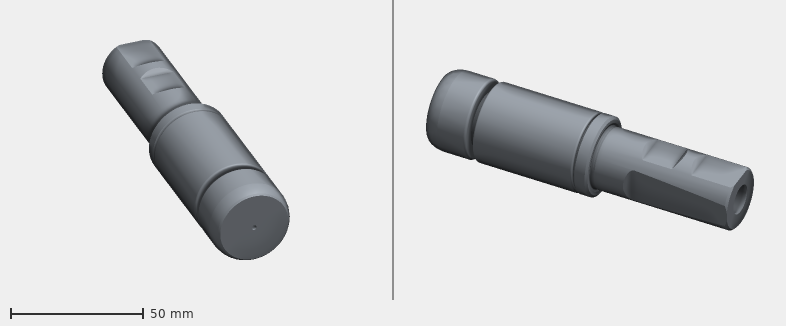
import cadquery as cq
import math

length = 125.6
body_radius = 32.0 / 2
shank_radius = 25.0 / 2

shank_end = 55.4
collar_start = 57.0
collar_end = 62.8
body_start = 63.2
body_end = 105.1
head_start = 108.0
crown_start = 120.0
crown_end = 125.0

shank_chamfer = 0.9
relief_radius = 24.6 / 2
relief_ramp_length = 0.6
relief_face_depth = 0.3
relief_fillet = 0.5
relief_face_radius = 13.6
collar_face_radius = 15.0
collar_front_chamfer = 0.8
collar_rear_chamfer = 0.8
split_radius = 14.7
body_fillet = 0.8
neck_radius = 22.2 / 2
head_fillet = 1.0
crown_radius = 8.8
nose_chamfer = length - crown_end

flat_depth = 2.0
flat_height = shank_radius - flat_depth
end_flat_length = 17.2
middle_flat_start = 25.6
middle_flat_end = 37.9

taper_start_height = 11.5
taper_angle = 2.0
taper_ramp_end = 43.3
taper_corner_radius = 3.8

bore_radius = 11.0 / 2
bore_mouth_radius = 11.8 / 2
bore_depth = 50.2
bore_floor_radius = 6.0 / 2
bore_tip_angle = 118.0
bore_cone_length = (bore_radius - bore_floor_radius) / math.tan(math.radians(bore_tip_angle / 2))
through_radius = 2.0 / 2
through_mouth_radius = 2.5 / 2


def arc_drop(radius, run):
    """Fall of a circular arc from its tangent after a given run."""
    return radius - math.sqrt(radius**2 - run**2)


def make_turned_body():
    """Revolve the outer profile; the sketch holds (axial, radial) points."""
    corner = math.sqrt(0.5)
    relief_arc = relief_fillet * (1 - corner)
    relief_floor = collar_start + relief_face_depth
    body_arc = body_fillet * (1 - corner)
    head_arc = head_fillet * (1 - corner)
    crown_middle = (crown_start + crown_end) / 2
    crown_middle_radius = body_radius - arc_drop(crown_radius, crown_middle - crown_start)
    crown_end_radius = body_radius - arc_drop(crown_radius, crown_end - crown_start)
    profile = (
        cq.Workplane("XY")
        .moveTo(0, 0)
        .lineTo(0, shank_radius - shank_chamfer)
        .lineTo(shank_chamfer, shank_radius)
        .lineTo(shank_end, shank_radius)
        .lineTo(shank_end + relief_ramp_length, relief_radius)
        .lineTo(relief_floor - relief_fillet, relief_radius)
        .threePointArc(
            (relief_floor - relief_arc, relief_radius + relief_arc),
            (relief_floor, relief_radius + relief_fillet),
        )
        .lineTo(collar_start, relief_face_radius)
        .lineTo(collar_start, collar_face_radius)
        .lineTo(collar_start + collar_front_chamfer, body_radius)
        .lineTo(collar_end - collar_rear_chamfer, body_radius)
        .lineTo(collar_end, body_radius - collar_rear_chamfer)
        .lineTo(collar_end, split_radius)
        .lineTo(body_start, split_radius)
        .lineTo(body_start, body_radius - body_fillet)
        .threePointArc(
            (body_start + body_arc, body_radius - body_arc),
            (body_start + body_fillet, body_radius),
        )
        .lineTo(body_end - body_fillet, body_radius)
        .threePointArc(
            (body_end - body_arc, body_radius - body_arc),
            (body_end, body_radius - body_fillet),
        )
        .lineTo(body_end, neck_radius)
        .lineTo(head_start, neck_radius)
        .lineTo(head_start, body_radius - head_fillet)
        .threePointArc(
            (head_start + head_arc, body_radius - head_arc),
            (head_start + head_fillet, body_radius),
        )
        .lineTo(crown_start, body_radius)
        .threePointArc((crown_middle, crown_middle_radius), (crown_end, crown_end_radius))
        .lineTo(length, crown_end_radius - nose_chamfer)
        .lineTo(length, 0)
        .close()
    )
    return profile.revolve(360, (0, 0, 0), (1, 0, 0))


def make_clamping_flats():
    """Cutters for the two flats, with 45 degree ramps up to the shank surface."""
    cut_top = body_radius
    rise = cut_top - flat_height
    end_cut = [
        (0, flat_height),
        (end_flat_length, flat_height),
        (end_flat_length + rise, cut_top),
        (0, cut_top),
    ]
    middle_cut = [
        (middle_flat_start, flat_height),
        (middle_flat_end, flat_height),
        (middle_flat_end + rise, cut_top),
        (middle_flat_start - rise, cut_top),
    ]
    plane = cq.Workplane("XZ")
    end_cutter = plane.polyline(end_cut).close().extrude(body_radius, both=True)
    middle_cutter = plane.polyline(middle_cut).close().extrude(body_radius, both=True)
    return end_cutter.union(middle_cutter)


def make_tapered_flat():
    """Cutter for the flat that deepens away from the end and leaves by a 45 degree ramp."""
    cut_top = body_radius
    slope = math.tan(math.radians(taper_angle))
    corner_x = (taper_start_height - shank_radius + taper_ramp_end) / (1 + slope)
    corner_y = taper_start_height - slope * corner_x
    return (
        cq.Workplane("XY")
        .moveTo(0, taper_start_height)
        .lineTo(corner_x, corner_y)
        .lineTo(corner_x + cut_top - corner_y, cut_top)
        .lineTo(0, cut_top)
        .close()
        .extrude(body_radius, both=True)
        .edges(cq.selectors.NearestToPointSelector((corner_x, corner_y, 0)))
        .fillet(taper_corner_radius)
    )


def make_bore():
    """Cutter for the chamfered bore, its conical end and the chamfered through hole."""
    mouth_chamfer = bore_mouth_radius - bore_radius
    through_chamfer = through_mouth_radius - through_radius
    profile = [
        (0, 0),
        (0, bore_mouth_radius),
        (mouth_chamfer, bore_radius),
        (bore_depth - bore_cone_length, bore_radius),
        (bore_depth, bore_floor_radius),
        (bore_depth, through_mouth_radius),
        (bore_depth + through_chamfer, through_radius),
        (length, through_radius),
        (length, 0),
    ]
    return cq.Workplane("XY").polyline(profile).close().revolve(360, (0, 0, 0), (1, 0, 0))


result = (
    make_turned_body()
    .cut(make_clamping_flats())
    .cut(make_tapered_flat())
    .cut(make_bore())
)